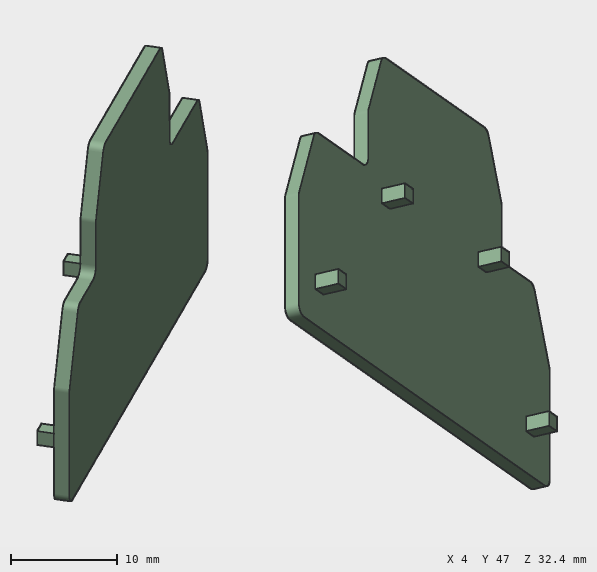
import cadquery as cq
import math

plate_length = 47.0
plate_height = 32.35
plate_thickness = 1.5
shoulder_height = 19.85
lower_bend_height = 12.25
upper_bend_height = 25.65
tower_left = 10.55
tower_width = 25.05
slant_angle = 22.0
corner_radius = 1.0

peg_side = 1.5
peg_length = 2.5
peg_centers = [(19.65, 4.4), (7.2, 17.95), (-10.85, 18.4), (-19.8, 5.0)]

half_length = plate_length / 2
tower_right = tower_left - tower_width
slant_slope = math.tan(math.radians(slant_angle))
lower_inset = (shoulder_height - lower_bend_height) * slant_slope
upper_inset = (plate_height - upper_bend_height) * slant_slope


def make_plate():
    """Flat stepped plate in the YZ plane, with every outline corner rounded."""
    outline = [
        (half_length, 0),
        (half_length, lower_bend_height),
        (half_length - lower_inset, shoulder_height),
        (tower_left, shoulder_height),
        (tower_left, upper_bend_height),
        (tower_left - upper_inset, plate_height),
        (tower_right + upper_inset, plate_height),
        (tower_right, upper_bend_height),
        (tower_right, shoulder_height),
        (-half_length + lower_inset, shoulder_height),
        (-half_length, lower_bend_height),
        (-half_length, 0),
    ]
    plate = cq.Workplane("YZ").polyline(outline).close().extrude(plate_thickness)
    return plate.edges("|X").fillet(corner_radius)


def make_pegs():
    """Square locating pegs standing out from the -X face of the plate."""
    return (
        cq.Workplane("YZ")
        .pushPoints(peg_centers)
        .rect(peg_side, peg_side)
        .extrude(-peg_length)
    )


result = make_plate().union(make_pegs())